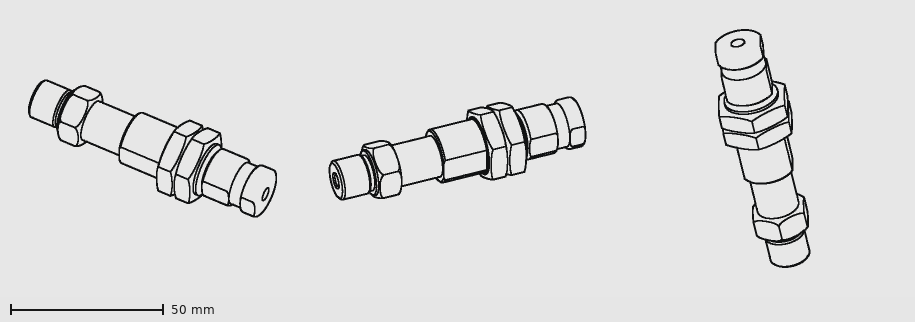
import cadquery as cq
import math

TOTAL_LENGTH = 85.0
BORE_DIAMETER = 4.5
BORE_MOUTH_DIAMETER = 5.5

THREAD_DIAMETER = 13.2
THREAD_TIP_DIAMETER = 11.8
RELIEF_DIAMETER = 12.0
THREAD_END = 9.4

COLLAR_START = 11.35
COLLAR_FACE_DIAMETER = 15.0
SMALL_HEX_START = 12.05
SMALL_HEX_LENGTH = 7.95
SMALL_HEX_ACROSS_FLATS = 17.0
SMALL_HEX_FACE_DIAMETER = 15.4
SMALL_HEX_ROUND_DEPTH = 1.4

SHAFT_DIAMETER = 13.9

BODY_START = 34.85
BODY_DIAMETER = 18.0
BODY_CHAMFER = 0.5
BODY_ACROSS_FLATS = 16.0
BODY_END = 63.8
BODY_TAPER_LENGTH = 1.1
NECK_DIAMETER = 13.9

NUT_COUNT = 2
NUT_START = 50.2
NUT_THICKNESS = 6.05
NUT_GAP = 0.55
NUT_ACROSS_FLATS = 22.0
NUT_FACE_DIAMETER = 19.5
NUT_ROUND_DEPTH = 0.75
RING_FACE_DIAMETER = 18.8
RING_LENGTH = 0.25

GLAND_START = BODY_END + BODY_TAPER_LENGTH
GLAND_END = 75.3
GLAND_DIAMETER = 16.7
GLAND_ACROSS_FLATS = 15.0
GLAND_LEAD_LENGTH = 0.8
GROOVE_DIAMETER = 14.7
CAP_START = 79.5
GLAND_ROUND = (GLAND_DIAMETER - GROOVE_DIAMETER) / 2


def cylinder(start, end, diameter):
    return cq.Workplane("YZ", origin=(start, 0, 0)).circle(diameter / 2).extrude(end - start)


def cone(start, end, start_diameter, end_diameter):
    outline = [
        (start, 0),
        (start, start_diameter / 2),
        (end, end_diameter / 2),
        (end, 0),
    ]
    return cq.Workplane("XY").polyline(outline).close().revolve(360, (0, 0), (1, 0))


def end_arc_middle(face_radius, corner_radius, round_depth):
    """Depth below the end face, and radius, halfway along an arc that leaves the face smoothly."""
    rise = corner_radius - face_radius
    arc_radius = (rise**2 + round_depth**2) / (2 * round_depth)
    half_angle = math.asin(rise / arc_radius) / 2
    middle_depth = arc_radius * (1 - math.cos(half_angle))
    middle_radius = face_radius + arc_radius * math.sin(half_angle)
    return middle_depth, middle_radius


def rounded_hexagon(start, length, across_flats, face_diameter, round_depth):
    """Hexagon with corners at +Z and -Z, its corners turned down to an arc at both ends."""
    across_corners = across_flats / math.cos(math.pi / 6)
    corner_radius = across_corners / 2
    face_radius = face_diameter / 2
    middle_depth, middle_radius = end_arc_middle(face_radius, corner_radius, round_depth)
    end = start + length

    prism = cq.Workplane("YZ", origin=(start, 0, 0)).polygon(6, across_corners).extrude(length)
    prism = prism.rotate((0, 0, 0), (1, 0, 0), 90)
    turned = (
        cq.Workplane("XY")
        .moveTo(start, 0)
        .lineTo(start, face_radius)
        .threePointArc((start + middle_depth, middle_radius), (start + round_depth, corner_radius))
        .lineTo(end - round_depth, corner_radius)
        .threePointArc((end - middle_depth, middle_radius), (end, face_radius))
        .lineTo(end, 0)
        .close()
        .revolve(360, (0, 0), (1, 0))
    )
    return prism.intersect(turned)


def two_flats(solid, start, end, across_flats):
    """Keep only what lies between two planes facing +Y and -Y from start to end."""
    slab_height = 2 * BODY_DIAMETER
    middle = (start + end) / 2
    slab = cq.Workplane("XY", origin=(middle, 0, 0)).box(end - start, across_flats, slab_height)
    return solid.intersect(slab)


def threaded_end():
    tip_chamfer = (THREAD_DIAMETER - THREAD_TIP_DIAMETER) / 2
    runout = (THREAD_DIAMETER - RELIEF_DIAMETER) / 2
    thread = cylinder(0, THREAD_END, THREAD_DIAMETER).faces("<X").chamfer(tip_chamfer)
    taper = cone(THREAD_END, THREAD_END + runout, THREAD_DIAMETER, RELIEF_DIAMETER)
    relief = cylinder(THREAD_END, COLLAR_START, RELIEF_DIAMETER)
    return thread.union(taper).union(relief)


def small_hexagon():
    collar = cone(COLLAR_START, SMALL_HEX_START, COLLAR_FACE_DIAMETER, SMALL_HEX_FACE_DIAMETER)
    hexagon = rounded_hexagon(
        SMALL_HEX_START,
        SMALL_HEX_LENGTH,
        SMALL_HEX_ACROSS_FLATS,
        SMALL_HEX_FACE_DIAMETER,
        SMALL_HEX_ROUND_DEPTH,
    )
    return collar.union(hexagon)


def shaft():
    return cylinder(SMALL_HEX_START, BODY_START, SHAFT_DIAMETER)


def body():
    barrel = cylinder(BODY_START, NUT_START, BODY_DIAMETER).faces("<X").chamfer(BODY_CHAMFER)
    barrel = two_flats(barrel, BODY_START, NUT_START, BODY_ACROSS_FLATS)
    rear = cylinder(NUT_START, BODY_END, BODY_DIAMETER)
    taper = cone(BODY_END, BODY_END + BODY_TAPER_LENGTH, BODY_DIAMETER, NECK_DIAMETER)
    return barrel.union(rear).union(taper)


def nuts():
    pair = cone(NUT_START - RING_LENGTH, NUT_START, RING_FACE_DIAMETER, NUT_FACE_DIAMETER)
    for index in range(NUT_COUNT):
        start = NUT_START + index * (NUT_THICKNESS + NUT_GAP)
        nut = rounded_hexagon(start, NUT_THICKNESS, NUT_ACROSS_FLATS, NUT_FACE_DIAMETER, NUT_ROUND_DEPTH)
        pair = pair.union(nut)
    return pair


def gland():
    lead_end = GLAND_START + GLAND_LEAD_LENGTH
    lead = cone(GLAND_START, lead_end, NECK_DIAMETER, GLAND_DIAMETER)
    barrel = cylinder(lead_end, GLAND_END, GLAND_DIAMETER).faces(">X").edges().fillet(GLAND_ROUND)
    groove = cylinder(GLAND_END, CAP_START, GROOVE_DIAMETER)
    cap = cylinder(CAP_START, TOTAL_LENGTH, GLAND_DIAMETER).edges().fillet(GLAND_ROUND)
    turned = lead.union(barrel).union(groove).union(cap)
    return two_flats(turned, GLAND_START, TOTAL_LENGTH, GLAND_ACROSS_FLATS)


def bore():
    mouth_depth = (BORE_MOUTH_DIAMETER - BORE_DIAMETER) / 2
    hole = cylinder(0, TOTAL_LENGTH, BORE_DIAMETER)
    return hole.union(cone(0, mouth_depth, BORE_MOUTH_DIAMETER, BORE_DIAMETER))


result = threaded_end()
for section in (small_hexagon(), shaft(), body(), nuts(), gland()):
    result = result.union(section)
result = result.cut(bore())